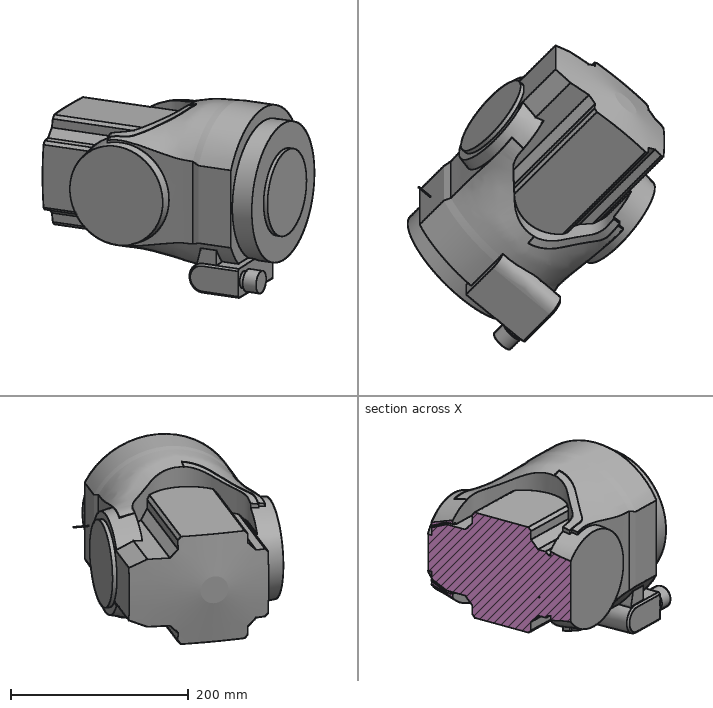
import cadquery as cq
import math

DIAGONAL_ANGLE = 45
DIAGONAL = math.cos(math.radians(DIAGONAL_ANGLE))

motor_front_x = -114.0
motor_back_x = 56.5
motor_half = 64.7
motor_flat_half = 37.0
motor_bevel = 4.0
notch_inner = 40.7
notch_outer = 50.3
motor_nose_radius = 16.0
motor_nose_slope = 0.131
fin_y = 96.7
fin_shoulder_y = 75.8
fin_half_height = 31.7
motor_clearance = 1.7
motor_gap_end_x = -39.5

boss_inner_y = 67.0
front_boss_y = 95.3
front_boss_radius = 58.2
front_boss_root_radius = 62.0
rear_boss_radius = 58.8
rear_boss_root_radius = 65.5

disc_radius = 50.0
rear_disc_y = 101.8

housing_sections = [
    (-20.0, 84.8, 59.0, 69.3),
    (0, 84.2, 62.2, 73.8),
    (22.5, 83.5, 59.4, 80.8),
    (48, 82.8, 54.0, 88.8),
    (67.8, 82.0, 50.0, 93.3),
    (89.0, 81.5, 48.5, 95.0),
]
arm_end_x = -16.7

flange_start_x = 97.8
flange_end_x = 138.2
flange_radius = 95.8
flange_half_width = 84.2
neck_end_x = 162.5
neck_radius = 80.5
axis_disc_end_x = 167.3

slot_half_width = boss_inner_y
slot_end_x = 48.0
slot_end_radius = 50.0
slot_corner_radius = 28.8

rim_width = 9.5
rim_height = 0.5
rim_tip_y = -7.3
rim_end_x = -20.0

box_bottom_z = -105.5
box_radius = 18.0
box_left_x = 83.7
box_right_x = 146.7
box_rear_y = 6.0
box_front_y = -83.5
box_taper = 0.6
box_bevel = 2.3
bracket_left_x = 94.5
bracket_top_left_x = 98.5
bracket_right_x = 118.2
bracket_top_z = -52.5
bracket_front_y = -80.3

plug_y = -69.3
plug_z = -86.2
plug_radius = 13.0
plug_neck_radius = 10.0
plug_neck_overlap = 2.8
plug_start_x = 152.0
plug_end_x = 168.7

pin_x = 120.5
pin_radius = 0.5


space_size = 565.3
space = cq.Workplane("XY").box(space_size, space_size, space_size)


def x_cylinder(radius, start_x, end_x, y=0, z=0):
    return cq.Workplane("YZ", origin=(start_x, y, z)).circle(radius).extrude(end_x - start_x)


def y_cone(start_radius, end_radius, start_y, end_y):
    direction = cq.Vector(0, math.copysign(1, end_y - start_y), 0)
    start = cq.Vector(0, start_y, 0)
    return cq.Workplane(cq.Solid.makeCone(start_radius, end_radius, abs(end_y - start_y), start, direction))


def motor_outline():
    corner = motor_half - motor_bevel
    upper = [
        (-motor_half, motor_flat_half),
        (-corner, notch_inner),
        (-notch_outer, notch_inner),
        (-notch_inner, notch_outer),
        (-notch_inner, corner),
        (-motor_flat_half, motor_half),
        (motor_flat_half, motor_half),
        (notch_inner, corner),
        (notch_inner, notch_outer),
        (notch_outer, notch_inner),
        (fin_shoulder_y, notch_inner),
        (fin_y, fin_half_height),
    ]
    lower = [(y, -z) for y, z in reversed(upper)]
    return cq.Workplane("YZ", origin=(motor_front_x, 0, 0)).polyline(upper + lower).close()


def motor():
    block = motor_outline().extrude(motor_back_x - motor_front_x)
    reach = 2 * motor_half
    nose_back_x = motor_front_x + motor_nose_slope * (reach - motor_nose_radius)
    nose_outline = [
        (motor_front_x, 0),
        (motor_front_x, motor_nose_radius),
        (nose_back_x, reach),
        (motor_back_x, reach),
        (motor_back_x, 0),
    ]
    nose = cq.Workplane("XY").polyline(nose_outline).close().revolve(360, (0, 0, 0), (1, 0, 0))
    behind_fin = space.translate((space_size / 2, slot_half_width + space_size / 2, 0))
    return block.intersect(nose).cut(behind_fin)


def rounded_section(work, half_width, side_height, middle_height):
    return (
        work.moveTo(-half_width, -side_height)
        .threePointArc((0, -middle_height), (half_width, -side_height))
        .lineTo(half_width, side_height)
        .threePointArc((0, middle_height), (-half_width, side_height))
        .close()
    )


def housing_shell(swell=0):
    shell = cq.Workplane("YZ")
    last_x = 0
    for x, half_width, side_height, middle_height in housing_sections:
        shell = shell.workplane(offset=x - last_x)
        shell = rounded_section(shell, half_width, side_height + swell, middle_height + swell)
        last_x = x
    return shell.loft()


def slot_prism(margin=0):
    end_radius = slot_end_radius + margin
    corner_radius = slot_corner_radius - margin
    half_width = slot_half_width + margin
    center_x = slot_end_x - slot_end_radius
    ramp_x = center_x + end_radius * DIAGONAL
    ramp_y = end_radius * DIAGONAL
    corner_y = half_width - corner_radius * (1 - DIAGONAL)
    corner_x = ramp_x - (corner_y - ramp_y)
    straight_x = corner_x - corner_radius * DIAGONAL
    bend_angle = math.radians((90 + DIAGONAL_ANGLE) / 2)
    bend_x = straight_x + corner_radius * math.cos(bend_angle)
    bend_y = half_width - corner_radius * (1 - math.sin(bend_angle))
    return (
        cq.Workplane("XY", origin=(0, 0, -flange_radius))
        .moveTo(motor_front_x, -half_width)
        .lineTo(straight_x, -half_width)
        .threePointArc((bend_x, -bend_y), (corner_x, -corner_y))
        .lineTo(ramp_x, -ramp_y)
        .threePointArc((center_x + end_radius, 0), (ramp_x, ramp_y))
        .lineTo(corner_x, corner_y)
        .threePointArc((bend_x, bend_y), (straight_x, half_width))
        .lineTo(motor_front_x, half_width)
        .close()
        .extrude(2 * flange_radius)
    )


def housing():
    shell = housing_shell().intersect(space.translate((arm_end_x + space_size / 2, 0, 0)))
    x, half_width, side_height, middle_height = housing_sections[-1]
    flange_side = math.sqrt(flange_radius**2 - flange_half_width**2)
    step = rounded_section(cq.Workplane("YZ", origin=(x, 0, 0)), half_width, side_height, middle_height)
    step = step.workplane(offset=flange_start_x - x)
    step = rounded_section(step, flange_half_width, flange_side, flange_radius).loft(ruled=True)
    flange = cq.Workplane("YZ", origin=(flange_start_x, 0, 0))
    flange = rounded_section(flange, flange_half_width, flange_side, flange_radius)
    return shell.union(step).union(flange.extrude(flange_end_x - flange_start_x))


def slot_rims():
    band = slot_prism(rim_width).cut(slot_prism())
    length = slot_end_x + rim_width - rim_end_x
    width = slot_half_width + rim_width + rim_tip_y
    zone = cq.Workplane("XY").box(length, width, 2 * flange_radius, centered=(False, False, True))
    zone = zone.translate((rim_end_x, rim_tip_y - width, 0))
    return housing_shell(rim_height).intersect(band).intersect(zone)


def bosses():
    front = y_cone(front_boss_root_radius, front_boss_radius, -motor_half, -front_boss_y)
    seat_zone = cq.Workplane("XY").box(space_size, space_size, 2 * motor_flat_half)
    front = front.cut(slot_prism().cut(seat_zone))
    rear = y_cone(rear_boss_root_radius, rear_boss_radius, boss_inner_y, fin_y)
    gap = motor_outline().offset2D(motor_clearance).extrude(motor_gap_end_x - motor_front_x)
    disc = cq.Workplane("XZ", origin=(0, boss_inner_y, 0)).circle(disc_radius)
    disc = disc.extrude(boss_inner_y - rear_disc_y)
    return front.union(rear.cut(gap)).union(disc)


def cable_box():
    center_x = box_left_x + box_radius
    center_z = box_bottom_z + box_radius
    uncut_right_x = box_right_x + box_radius
    box = (
        cq.Workplane("XZ", origin=(0, box_rear_y, 0))
        .moveTo(uncut_right_x, center_z + box_radius)
        .lineTo(center_x, center_z + box_radius)
        .threePointArc((box_left_x, center_z), (center_x, center_z - box_radius))
        .lineTo(uncut_right_x, center_z - box_radius)
        .close()
        .extrude(box_rear_y - box_front_y, taper=box_taper)
        .faces("<Y")
        .chamfer(box_bevel)
    )
    box = box.intersect(space.translate((box_right_x - space_size / 2, 0, 0)))
    bracket_outline = [
        (bracket_left_x, center_z),
        (bracket_left_x, center_z + box_radius),
        (bracket_top_left_x, bracket_top_z),
        (bracket_right_x, bracket_top_z),
        (bracket_right_x, center_z),
    ]
    bracket = cq.Workplane("XZ").polyline(bracket_outline).close().extrude(-bracket_front_y)
    plug_neck = x_cylinder(plug_neck_radius, box_right_x - plug_neck_overlap, plug_start_x, plug_y, plug_z)
    plug = x_cylinder(plug_radius, plug_start_x, plug_end_x, plug_y, plug_z)
    return box.union(bracket).union(plug_neck).union(plug)


pin = cq.Workplane("XZ", origin=(pin_x, 0, 0)).circle(pin_radius).extrude(-rear_disc_y)

result = (
    housing()
    .cut(slot_prism())
    .union(slot_rims())
    .union(bosses())
    .union(motor())
    .union(x_cylinder(neck_radius, flange_end_x, neck_end_x))
    .union(x_cylinder(disc_radius, neck_end_x, axis_disc_end_x))
    .union(cable_box())
    .union(pin)
)